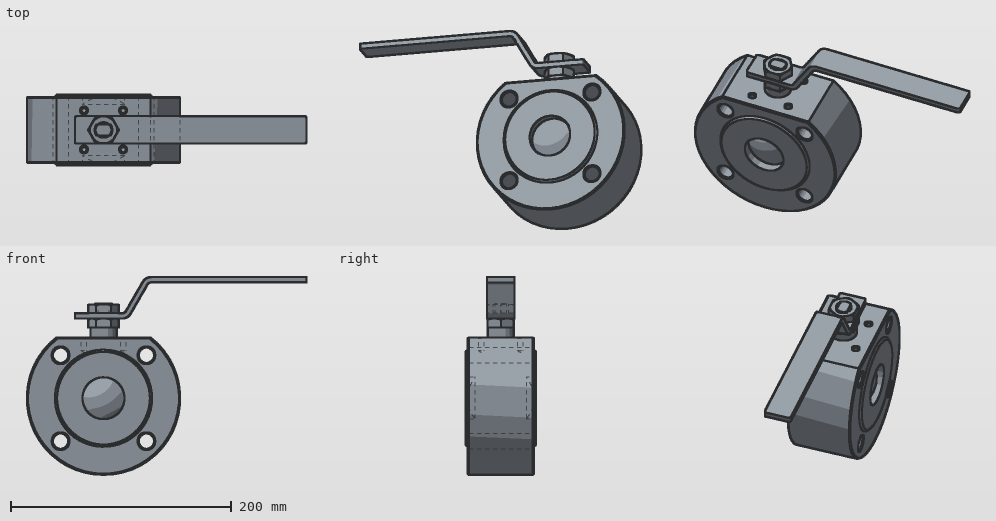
import cadquery as cq
import math


body_radius = 69.45
body_width = 60.0
body_chamfer = 1.05
pad_height = 55.0

face_base_radius = 44.0
face_tip_radius = 42.0
face_height = 2.0

bolt_circle_diameter = 110.0
bolt_hole_diameter = 14.0
bolt_hole_chamfer = 1.0

bore_diameter = 38.0
ball_radius = 30.0

pad_hole_circle_diameter = 50.0
pad_hole_diameter = 5.0
pad_hole_depth = 12.0
pad_hole_chamfer = 1.0
drill_point_angle = 118.0

neck_diameter = 24.0
neck_height = 9.0
hex_across_flats = 24.0
hex_chamfer = 0.75
hex_top_radius = 12.4
lower_hex_height = 8.0
upper_hex_height = 8.0
nut_bore_diameter = 14.0
stem_diameter = 16.0
stem_across_flats = 10.0
stem_chamfer = 0.75
stem_protrusion = 0.75

lever_thickness = 5.0
lever_width = 25.0
lever_back_x = -26.0
lever_tip_x = 183.94
lever_top_z = 109.8
lever_bend_x = 16.8
lever_bend_angle = 60.0
lever_inner_bend = 4.0
lever_corner_radius = 2.0

face_y = body_width / 2 + face_height
hex_bottom_z = pad_height + neck_height
lever_bottom_z = hex_bottom_z + lower_hex_height
lever_seat_z = lever_bottom_z + lever_thickness
hex_across_corners = hex_across_flats / math.cos(math.radians(30))


def make_body():
    disc = cq.Workplane("XZ").circle(body_radius).extrude(body_width / 2, both=True)
    pad_cutter = (
        cq.Workplane("XY")
        .workplane(offset=pad_height)
        .rect(2 * body_radius, 2 * body_width)
        .extrude(body_radius)
    )
    body = disc.cut(pad_cutter).faces("<Y or >Y").chamfer(body_chamfer)
    faces = cq.Workplane("XY").polyline([
        (0, -face_y),
        (face_tip_radius, -face_y),
        (face_base_radius, -body_width / 2),
        (face_base_radius, body_width / 2),
        (face_tip_radius, face_y),
        (0, face_y),
    ]).close().revolve(360, (0, 0, 0), (0, 1, 0))
    return body.union(faces)


def make_bore():
    bore = cq.Workplane("XZ").circle(bore_diameter / 2).extrude(face_y, both=True)
    return bore.cut(cq.Workplane("XY").sphere(ball_radius))


def square_pattern(circle_diameter):
    """Four points at 45 degrees on a circle."""
    offset = circle_diameter / 2 * math.cos(math.radians(45))
    return [(a, b) for a in (-offset, offset) for b in (-offset, offset)]


def make_bolt_holes():
    """Through holes along Y, countersunk on both flange sides."""
    half_width = body_width / 2
    radius = bolt_hole_diameter / 2
    mouth_radius = radius + bolt_hole_chamfer
    hole = cq.Workplane("XY").polyline([
        (0, -half_width),
        (mouth_radius, -half_width),
        (radius, -half_width + bolt_hole_chamfer),
        (radius, half_width - bolt_hole_chamfer),
        (mouth_radius, half_width),
        (0, half_width),
    ]).close().revolve(360, (0, 0, 0), (0, 1, 0))
    holes = cq.Workplane("XY")
    for x, z in square_pattern(bolt_circle_diameter):
        holes = holes.add(hole.translate((x, 0, z)))
    return holes.combine()


def make_pad_holes():
    """Blind countersunk holes with a drill point, down from the pad."""
    radius = pad_hole_diameter / 2
    point_height = radius / math.tan(math.radians(drill_point_angle / 2))
    hole = cq.Workplane("XZ").polyline([
        (0, 0),
        (radius + pad_hole_chamfer, 0),
        (radius, -pad_hole_chamfer),
        (radius, -pad_hole_depth),
        (0, -pad_hole_depth - point_height),
    ]).close().revolve(360, (0, 0, 0), (0, 1, 0))
    holes = cq.Workplane("XY")
    for x, y in square_pattern(pad_hole_circle_diameter):
        holes = holes.add(hole.translate((x, y, pad_height)))
    return holes.combine()


def make_hex(bottom_z, height):
    """Hexagon with its corners turned off conically at the top."""
    prism = cq.Workplane("XY").polygon(6, hex_across_corners).extrude(height)
    corner_radius = hex_across_corners / 2
    cone = cq.Workplane("XZ").polyline([
        (0, 0),
        (corner_radius, 0),
        (corner_radius, height - hex_chamfer),
        (hex_top_radius, height),
        (0, height),
    ]).close().revolve(360, (0, 0, 0), (0, 1, 0))
    return prism.intersect(cone).translate((0, 0, bottom_z))


def make_stem():
    """Round stem end with two flats, reaching from the lever seat out of the nut."""
    height = upper_hex_height + stem_protrusion
    round_end = cq.Workplane("XY").circle(stem_diameter / 2).extrude(height)
    round_end = round_end.faces(">Z").chamfer(stem_chamfer)
    flats = cq.Workplane("XY").rect(stem_diameter, stem_across_flats).extrude(height)
    return round_end.intersect(flats).translate((0, 0, lever_seat_z))


def make_lever():
    outer_bend = lever_inner_bend + lever_thickness
    angle = math.radians(lever_bend_angle)
    sin_a = math.sin(angle)
    cos_a = math.cos(angle)
    rise = lever_top_z - lever_seat_z
    bend_sum = lever_inner_bend + outer_bend
    slope_length = (rise - bend_sum * (1 - cos_a)) / sin_a
    upper_bend_x = lever_bend_x + bend_sum * sin_a + slope_length * cos_a

    def bend_point(center_x, center_z, radius, turn, side):
        """Point on a bend, turned from the vertical through its center; side -1 is below it, 1 above."""
        return (center_x - side * radius * math.sin(turn), center_z + side * radius * math.cos(turn))

    low = (lever_bend_x, lever_seat_z + lever_inner_bend)
    high = (upper_bend_x, lever_top_z - outer_bend)
    strip = (
        cq.Workplane("XZ")
        .moveTo(lever_back_x, lever_bottom_z)
        .lineTo(lever_bend_x, lever_bottom_z)
        .threePointArc(bend_point(*low, outer_bend, angle / 2, -1), bend_point(*low, outer_bend, angle, -1))
        .lineTo(*bend_point(*high, lever_inner_bend, angle, 1))
        .threePointArc(
            bend_point(*high, lever_inner_bend, angle / 2, 1), (upper_bend_x, lever_top_z - lever_thickness))
        .lineTo(lever_tip_x, lever_top_z - lever_thickness)
        .lineTo(lever_tip_x, lever_top_z)
        .lineTo(upper_bend_x, lever_top_z)
        .threePointArc(bend_point(*high, outer_bend, angle / 2, 1), bend_point(*high, outer_bend, angle, 1))
        .lineTo(*bend_point(*low, lever_inner_bend, angle, -1))
        .threePointArc(bend_point(*low, lever_inner_bend, angle / 2, -1), (lever_bend_x, lever_seat_z))
        .lineTo(lever_back_x, lever_seat_z)
        .close()
        .extrude(lever_width / 2, both=True)
    )
    return strip.faces("<X or >X").edges("|Z").fillet(lever_corner_radius)


def make_neck():
    return cq.Workplane("XY").workplane(offset=pad_height).circle(neck_diameter / 2).extrude(neck_height)


def make_nut():
    """Upper hexagon, bored so a gap stays beside the stem flats."""
    bore = cq.Workplane("XY").circle(nut_bore_diameter / 2).extrude(upper_hex_height)
    return make_hex(lever_seat_z, upper_hex_height).cut(bore.translate((0, 0, lever_seat_z)))


result = (
    make_body()
    .cut(make_bore())
    .cut(make_bolt_holes())
    .cut(make_pad_holes())
    .union(make_neck())
    .union(make_hex(hex_bottom_z, lower_hex_height))
    .union(make_lever())
    .union(make_nut())
    .union(make_stem())
)